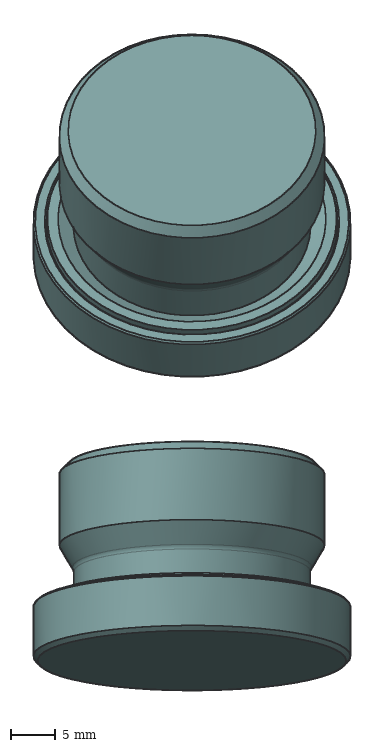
import math

import cadquery as cq

total_height = 22.5
flange_height = 6.43
groove_floor = 3.6
seal_top = 6.9
flare_top = 13.3

flange_diameter = 35.9
groove_outer_diameter = 33.0
head_diameter = 30.0
neck_diameter = 26.8

seal_outer_diameter = 32.7
seal_bore_diameter = 26.9
dish_diameter = 30.3
dish_depth = 0.97

head_chamfer = 1.0
flange_top_chamfer = 0.2
flange_bottom_chamfer = 0.5
groove_chamfer = 0.18

flare_angle = math.radians(30)
blend_radius = 1.0


def revolve_about_z(half_section):
    """Full turn of a closed radius-height section about the Z axis."""
    return half_section.close().revolve(360, (0, 0), (0, 1))


def make_stopper():
    """Stopper: flange with an annular groove, neck, flare and chamfered head."""
    flange_radius = flange_diameter / 2
    groove_radius = groove_outer_diameter / 2
    neck_radius = neck_diameter / 2
    head_radius = head_diameter / 2

    def blend_point(angle, base_height):
        """Point of the neck blend where its tangent makes this angle with the axis."""
        return (
            neck_radius + blend_radius * (1 - math.cos(angle)),
            base_height + blend_radius * math.sin(angle),
        )

    blend_width = blend_radius * (1 - math.cos(flare_angle))
    cone_height = (head_radius - neck_radius - blend_width) / math.tan(flare_angle)
    neck_top = flare_top - cone_height - blend_radius * math.sin(flare_angle)

    half_section = (
        cq.Workplane("XZ")
        .lineTo(flange_radius - flange_bottom_chamfer, 0)
        .lineTo(flange_radius, flange_bottom_chamfer)
        .lineTo(flange_radius, flange_height - flange_top_chamfer)
        .lineTo(flange_radius - flange_top_chamfer, flange_height)
        .lineTo(groove_radius + groove_chamfer, flange_height)
        .lineTo(groove_radius, flange_height - groove_chamfer)
        .lineTo(groove_radius, groove_floor)
        .lineTo(neck_radius, groove_floor)
        .lineTo(neck_radius, neck_top)
        .threePointArc(blend_point(flare_angle / 2, neck_top), blend_point(flare_angle, neck_top))
        .lineTo(head_radius, flare_top)
        .lineTo(head_radius, total_height - head_chamfer)
        .lineTo(head_radius - head_chamfer, total_height)
        .lineTo(0, total_height)
    )
    return revolve_about_z(half_section)


def make_seal():
    """Seal ring: rests on the groove floor, its top face dished towards the bore."""
    outer_radius = seal_outer_diameter / 2
    bore_radius = seal_bore_diameter / 2
    half_section = (
        cq.Workplane("XZ")
        .moveTo(bore_radius, groove_floor)
        .lineTo(outer_radius, groove_floor)
        .lineTo(outer_radius, seal_top)
        .lineTo(dish_diameter / 2, seal_top)
        .lineTo(bore_radius, seal_top - dish_depth)
    )
    return revolve_about_z(half_section)


stopper = make_stopper()
seal = make_seal()

result = cq.Compound.makeCompound([stopper.val(), seal.val()])